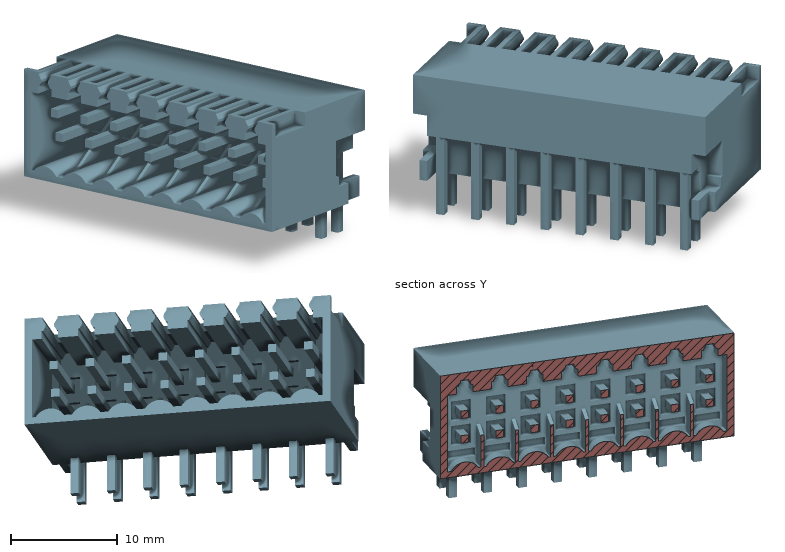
import cadquery as cq


POLES = 8
PITCH = 3.5
END_MARGIN = 2.45

LENGTH = (POLES - 1) * PITCH + 2 * END_MARGIN
DEPTH = 14.2
HEIGHT = 10.5

END_WALL = 0.75
FLOOR_Z = 0.65
CEILING_Z = 8.38
CAVITY_DEPTH = 8.1

BUMP_WIDTH = 2.72
BUMP_RISE = 0.75

RIB_WIDTH = 0.35
RIB_START_Y = 2.5
RIB_TOP_Z = 4.58

SLOT_LENGTH = 5.0
SLOT_TOP_WIDTH = 1.44
SLOT_RIM_HEIGHT = 0.2
SLOT_NECK_WIDTH = 0.8
SLOT_NECK_Z = 9.68
SLOT_NECK_HEIGHT = 0.24
SLOT_FLARE_WIDTH = 1.3
SLOT_SHOULDER_Z = 9.13
SLOT_MOUTH_WIDTH = 1.58

ROOF_POCKET_WIDTH = 1.0
ROOF_POCKET_FRONT_WALL = 0.5
ROOF_POCKET_FLOOR_Z = 9.12
END_POCKET_WIDTH = 1.2

BACK_RECESS_DEPTH = 0.5
PIN_RECESS_SIZE = 2.0
KEY_RECESS_WIDTH = 2.9
KEY_RECESS_HEIGHT = 0.85

PIN_SIZE = 0.8
TAIL_LENGTH = 3.5
ROW_SPACING = 2.5
LOWER_PIN_Z = 3.73
LOWER_PIN_TIP_Y = 2.2
LOWER_TAIL_Y = 10.6
UPPER_PIN_Z = LOWER_PIN_Z + ROW_SPACING
UPPER_PIN_TIP_Y = 1.5
UPPER_TAIL_Y = LOWER_TAIL_Y + ROW_SPACING

TAB_INSET = 0.65
TAB_THICKNESS = 0.75
TAB_TOP_Z = 2.0
REAR_WALL_Y = DEPTH - 2.5
OPENING_TOP_Z = 4.55
OPENING_STEP_Y = DEPTH - 2.05
OPENING_STEP_Z = 4.08

END_RECESS_DEPTH = TAB_INSET + TAB_THICKNESS
END_RECESS_TOP_Z = 6.58
END_RECESS_FRONT_Y = DEPTH - 4.43
END_RECESS_STEP_Y = DEPTH - 3.98
END_RECESS_STEP_Z = 2.96

POLE_XS = [(i - (POLES - 1) / 2) * PITCH for i in range(POLES)]
GAP_XS = [x + PITCH / 2 for x in POLE_XS[:-1]]


def box(x_range, y_range, z_range):
    """Box given by its (low, high) limits along each axis."""
    lows, highs = zip(x_range, y_range, z_range)
    size = [high - low for low, high in zip(lows, highs)]
    return cq.Workplane("XY").box(*size, centered=False).translate(lows)


def centred(middle, size):
    """Limits of a span of the given size around its middle."""
    return (middle - size / 2, middle + size / 2)


def extrude_back(outline, length):
    """Extrude an XZ outline from the mating face towards +Y."""
    return outline.extrude(-length)


def extrude_along_x(points, x_range):
    """Extrude a YZ polygon between two X limits."""
    low, high = x_range
    return cq.Workplane("YZ").polyline(points).close().extrude(high - low).translate((low, 0, 0))


def cavity():
    return box(centred(0, LENGTH - 2 * END_WALL), (0, CAVITY_DEPTH), (FLOOR_Z, CEILING_Z))


def bump(x):
    outline = (
        cq.Workplane("XZ")
        .moveTo(x - BUMP_WIDTH / 2, FLOOR_Z)
        .threePointArc((x, FLOOR_Z + BUMP_RISE), (x + BUMP_WIDTH / 2, FLOOR_Z))
        .lineTo(x + BUMP_WIDTH / 2, 0)
        .lineTo(x - BUMP_WIDTH / 2, 0)
        .close()
    )
    return extrude_back(outline, CAVITY_DEPTH)


def rib(x):
    points = [
        (RIB_START_Y, FLOOR_Z),
        (CAVITY_DEPTH, RIB_TOP_Z),
        (CAVITY_DEPTH, FLOOR_Z),
    ]
    return extrude_along_x(points, centred(x, RIB_WIDTH))


def mirrored_outline(x, half_profile):
    """Closed XZ outline from (half width, z) points mirrored about x."""
    right = [(x + half, z) for half, z in half_profile]
    left = [(x - half, z) for half, z in reversed(half_profile)]
    return cq.Workplane("XZ").polyline(right + left).close()


def latch_slot(x):
    """Roof slot: a short V above the neck level, a full-depth stepped flare below it."""
    upper = mirrored_outline(x, [
        (SLOT_NECK_WIDTH / 2, SLOT_NECK_Z),
        (SLOT_NECK_WIDTH / 2, SLOT_NECK_Z + SLOT_NECK_HEIGHT / 2),
        (SLOT_TOP_WIDTH / 2, HEIGHT - SLOT_RIM_HEIGHT),
        (SLOT_TOP_WIDTH / 2, HEIGHT),
    ])
    lower = mirrored_outline(x, [
        (SLOT_MOUTH_WIDTH / 2, CEILING_Z),
        (SLOT_MOUTH_WIDTH / 2, SLOT_SHOULDER_Z),
        (SLOT_FLARE_WIDTH / 2, SLOT_SHOULDER_Z),
        (SLOT_NECK_WIDTH / 2, SLOT_NECK_Z - SLOT_NECK_HEIGHT / 2),
        (SLOT_NECK_WIDTH / 2, SLOT_NECK_Z),
    ])
    return extrude_back(upper, SLOT_LENGTH).union(extrude_back(lower, CAVITY_DEPTH))


def roof_pocket(x_range):
    return box(x_range, (ROOF_POCKET_FRONT_WALL, SLOT_LENGTH), (ROOF_POCKET_FLOOR_Z, HEIGHT))


def back_recesses(x):
    y_range = (CAVITY_DEPTH, CAVITY_DEPTH + BACK_RECESS_DEPTH)
    key_bottom = FLOOR_Z + BUMP_RISE
    recesses = box(centred(x, KEY_RECESS_WIDTH), y_range, (key_bottom, key_bottom + KEY_RECESS_HEIGHT))
    for z in (LOWER_PIN_Z, UPPER_PIN_Z):
        recesses = recesses.union(box(centred(x, PIN_RECESS_SIZE), y_range, centred(z, PIN_RECESS_SIZE)))
    return recesses


def rear_opening():
    points = [
        (DEPTH, TAB_TOP_Z),
        (REAR_WALL_Y, TAB_TOP_Z),
        (REAR_WALL_Y, OPENING_STEP_Z),
        (OPENING_STEP_Y, OPENING_STEP_Z),
        (OPENING_STEP_Y, OPENING_TOP_Z),
        (DEPTH, OPENING_TOP_Z),
    ]
    opening = extrude_along_x(points, centred(0, LENGTH))
    between_tabs = box(centred(0, LENGTH - 2 * END_RECESS_DEPTH), (REAR_WALL_Y, DEPTH), (0, TAB_TOP_Z))
    return opening.union(between_tabs)


def end_recess():
    """Recess at the -X end, with the set-back outer side of the rear tab."""
    points = [
        (DEPTH, TAB_TOP_Z),
        (END_RECESS_STEP_Y, TAB_TOP_Z),
        (END_RECESS_STEP_Y, END_RECESS_STEP_Z),
        (END_RECESS_FRONT_Y, END_RECESS_STEP_Z),
        (END_RECESS_FRONT_Y, END_RECESS_TOP_Z),
        (DEPTH, END_RECESS_TOP_Z),
    ]
    end_x = -LENGTH / 2
    recess = extrude_along_x(points, (end_x, end_x + END_RECESS_DEPTH))
    tab_side = box((end_x, end_x + TAB_INSET), (REAR_WALL_Y, DEPTH), (0, TAB_TOP_Z))
    return recess.union(tab_side)


def bent_pin(x, pin_z, tip_y, tail_y):
    """Square pin reaching into the cavity and bent down to a solder tail."""
    half = PIN_SIZE / 2
    contact = box(centred(x, PIN_SIZE), (tip_y, tail_y + half), centred(pin_z, PIN_SIZE))
    tail = box(centred(x, PIN_SIZE), centred(tail_y, PIN_SIZE), (-TAIL_LENGTH, pin_z + half))
    return contact.union(tail)


def housing():
    body = box(centred(0, LENGTH), (0, DEPTH), (0, HEIGHT)).cut(cavity())
    for x in POLE_XS:
        body = body.union(bump(x)).cut(latch_slot(x)).cut(back_recesses(x))
    for x in GAP_XS:
        body = body.union(rib(x)).cut(roof_pocket(centred(x, ROOF_POCKET_WIDTH)))
    left_pocket = roof_pocket((-LENGTH / 2, -LENGTH / 2 + END_POCKET_WIDTH))
    for end_cut in (left_pocket, end_recess()):
        body = body.cut(end_cut).cut(end_cut.mirror("YZ"))
    return body.cut(rear_opening())


result = housing()
for pole_x in POLE_XS:
    result = result.union(bent_pin(pole_x, LOWER_PIN_Z, LOWER_PIN_TIP_Y, LOWER_TAIL_Y))
    result = result.union(bent_pin(pole_x, UPPER_PIN_Z, UPPER_PIN_TIP_Y, UPPER_TAIL_Y))